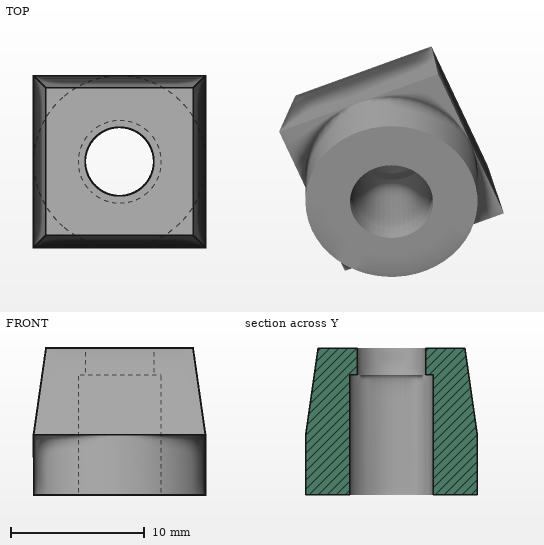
import cadquery as cq

base_width = 12.86
top_width = 11.0
foot_height = 4.5
total_height = 11.0
hole_diameter = 5.1
hole_depth = 2.0
bore_diameter = 6.2

block_height = total_height - foot_height
bore_depth = total_height - hole_depth

foot = cq.Workplane("XY").circle(base_width / 2).extrude(foot_height)

block = (
    cq.Workplane("XY")
    .workplane(offset=foot_height)
    .rect(base_width, base_width)
    .workplane(offset=block_height)
    .rect(top_width, top_width)
    .loft(ruled=True)
)

narrow_hole = cq.Workplane("XY").circle(hole_diameter / 2).extrude(total_height)
wide_bore = cq.Workplane("XY").circle(bore_diameter / 2).extrude(bore_depth)

result = foot.union(block).cut(narrow_hole).cut(wide_bore)